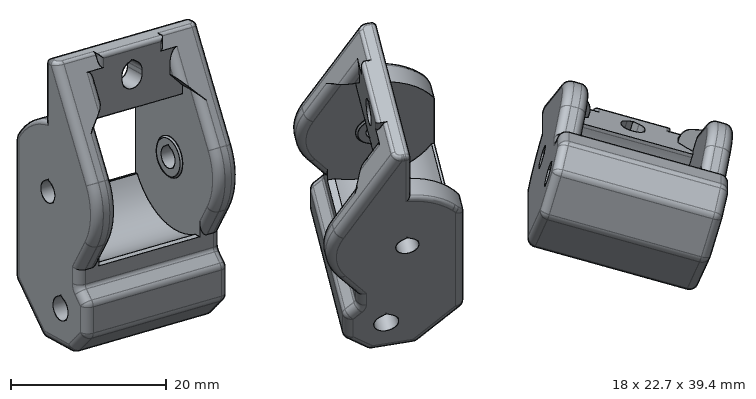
import cadquery as cq
import math

width = 22.7
height = 39.4
depth = 15.75
depth_over_bulge = 17.95

front_chamfer = 6.23
back_chamfer = 3.25
ledge_z = 7.88
neck_x = 14.03
neck_top_z = 11.98
neck_radius = 0.8
round_x = 8.9
round_z = 20.9
bulge_radius = depth_over_bulge - round_x
front_arc_radius = 10.0
cavity_radius = 9.8

plate_front_x = 7.05
plate_back_x = 10.25
slope_top_x = 9.2
pad_half_width = 5.12

corner_radius = 1.2
side_radius = 1.2
top_radius = 0.6
inner_radius = 1.15

opening_width = 16.0
window_low_z = 16.05
window_top_z = 30.65
pocket_half_width = 6.0
flare_z = 33.9
web_half_width = opening_width / 2 + inner_radius

hole_peak_angle = 30.0
pivot_x = 7.5
pivot_z = round_z
pivot_radius = 1.515
lower_hole_x = 10.25
lower_hole_z = 5.5
lower_hole_radius = 1.635
plate_hole_z = 35.0
plate_hole_radius = 1.58
plate_hole_stretch = 0.65
boss_radius = 2.85
boss_height = 0.28
boss_edge = 0.25

pick_reach = 0.2
pick_margin = 0.05
pick_inset = 0.4


def polar(radius, angle):
    """Point on a circle about the common centre."""
    return round_x + radius * math.cos(angle), round_z + radius * math.sin(angle)


def tangent_angle(x, z, side):
    """Angle on the bulge circle where a line from (x, z) touches it."""
    distance = math.hypot(x - round_x, z - round_z)
    return math.atan2(z - round_z, x - round_x) + side * math.acos(bulge_radius / distance)


def across(outline, size):
    """Extrude an outline symmetrically about its plane."""
    return outline.extrude(size / 2, both=True)


def cheek_profile():
    """Closed side outline of the whole bracket."""
    low = tangent_angle(neck_x, neck_top_z, 1)
    high = tangent_angle(slope_top_x, height, -1)
    arc_top_z = round_z + math.sqrt(front_arc_radius**2 - (round_x - plate_front_x) ** 2)
    arc_low_z = round_z + math.sqrt(front_arc_radius**2 - round_x**2)
    arc_mid_angle = (
        math.atan2(arc_top_z - round_z, plate_front_x - round_x)
        + math.atan2(arc_low_z - round_z, -round_x)
    ) / 2
    return (
        cq.Workplane("XZ")
        .moveTo(0, front_chamfer)
        .lineTo(front_chamfer, 0)
        .lineTo(depth - back_chamfer, 0)
        .lineTo(depth, back_chamfer)
        .lineTo(depth, ledge_z)
        .lineTo(neck_x, ledge_z + depth - neck_x)
        .lineTo(neck_x, neck_top_z)
        .lineTo(*polar(bulge_radius, low))
        .threePointArc(polar(bulge_radius, (low + high) / 2), polar(bulge_radius, high))
        .lineTo(slope_top_x, height)
        .lineTo(plate_front_x, height)
        .lineTo(plate_front_x, arc_top_z)
        .threePointArc(polar(front_arc_radius, arc_mid_angle), (0, arc_low_z))
        .close()
    )


def near(x, z):
    """Selector box around one edge that runs across the width."""
    return cq.selectors.BoxSelector(
        (x - pick_reach, -width, z - pick_reach), (x + pick_reach, width, z + pick_reach)
    )


def solid_body():
    """Full-width body with its outer edges rounded."""
    body = across(cheek_profile(), width)
    for x, z in [
        (0, front_chamfer),
        (front_chamfer, 0),
        (depth - back_chamfer, 0),
        (depth, back_chamfer),
        (depth, ledge_z),
    ]:
        body = body.edges(near(x, z)).fillet(corner_radius)
    body = body.edges(near(neck_x, ledge_z + depth - neck_x)).fillet(neck_radius)

    slim_zone = cq.selectors.BoxSelector(
        (0, -width, round_z + front_arc_radius / 2), (round_x, width, height + pick_inset)
    )
    outline = cq.selectors.StringSyntaxSelector("<Y or >Y")
    heavy = body.faces(outline).edges(cq.selectors.InverseSelector(slim_zone))
    body = heavy.fillet(side_radius)
    slim = body.faces(outline).edges(slim_zone)
    plate_top = body.edges(near(plate_front_x, height))
    return slim.add(plate_top).fillet(top_radius)


def drum_cavity():
    """Round cavity between the cheeks, open at the front and back."""
    drum = cq.Workplane("XZ").center(round_x, round_z).circle(cavity_radius)
    return across(drum, opening_width)


def front_window():
    """Rectangular opening below the plate, from the front face to the back of the plate."""
    window = (
        cq.Workplane("XZ")
        .moveTo(0, window_low_z)
        .lineTo(plate_back_x, window_low_z)
        .lineTo(plate_back_x, window_top_z)
        .lineTo(0, window_top_z)
        .close()
    )
    return across(window, opening_width)


def rear_gap():
    """Gap between the cheeks behind the plate, from the top of the neck upward."""
    gap = cq.Workplane("XZ").moveTo(plate_back_x, neck_top_z).rect(depth, height, centered=False)
    return across(gap, opening_width)


def web_region():
    """Zone behind the plate above the flared lower ends of the pocket."""
    drop = web_half_width - pocket_half_width
    return (
        cq.Workplane("YZ", origin=(plate_back_x, 0, 0))
        .polyline(
            [
                (-web_half_width, flare_z - drop),
                (-pocket_half_width, flare_z),
                (pocket_half_width, flare_z),
                (web_half_width, flare_z - drop),
                (web_half_width, height),
                (-web_half_width, height),
            ]
        )
        .close()
        .extrude(depth)
    )


def pocket():
    """Recess behind the plate, between the two webs."""
    return (
        cq.Workplane("YZ", origin=(plate_back_x, 0, 0))
        .moveTo(0, round_z + height / 2)
        .rect(2 * pocket_half_width, height)
        .extrude(depth)
    )


def pad():
    """Full-height middle of the plate, standing proud of the sloping back."""
    block = cq.Workplane("XY").box(
        plate_back_x - plate_front_x - top_radius,
        2 * pad_half_width,
        height - flare_z,
        centered=(False, True, False),
    )
    return (
        block.translate((plate_front_x + top_radius, 0, flare_z))
        .edges(">X and (|Z or >Z)")
        .fillet(top_radius)
    )


def teardrop(plane, x, z, radius):
    """Round hole with a pointed roof, running right through along the plane normal."""
    angle = math.radians(hole_peak_angle)
    side_x = radius * math.sin(angle)
    side_z = z + radius * math.cos(angle)
    outline = (
        cq.Workplane(plane)
        .moveTo(x + side_x, side_z)
        .lineTo(x, z + radius / math.cos(angle))
        .lineTo(x - side_x, side_z)
        .threePointArc((x, z - radius), (x + side_x, side_z))
        .close()
    )
    return across(outline, 2 * width)


def plate_hole():
    """Teardrop hole through the plate, lengthened upward into a short slot."""
    low = teardrop("YZ", 0, plate_hole_z, plate_hole_radius)
    high = low.translate((0, 0, plate_hole_stretch))
    middle = (
        cq.Workplane("YZ")
        .center(0, plate_hole_z + plate_hole_stretch / 2)
        .rect(2 * plate_hole_radius, plate_hole_stretch)
    )
    return low.union(high).union(across(middle, 2 * width))


def cheeks(body):
    """Body opened up between the cheeks, with the rear inner edges of the cheeks rounded."""
    opened = body.cut(drum_cavity()).cut(front_window()).cut(rear_gap())
    wall_half = opening_width / 2 + pick_margin
    inner_walls = opened.faces(
        cq.selectors.BoxSelector((0, -wall_half, window_low_z), (depth, wall_half, window_top_z))
    ).faces("|Y")
    rear_zone = cq.selectors.BoxSelector(
        (plate_back_x + pick_inset, -width, neck_top_z + pick_inset),
        (depth_over_bulge, width, height),
    )
    return inner_walls.edges(rear_zone).fillet(inner_radius)


def webs(body):
    """Corner webs that tie the cheeks to the plate, on both sides of the pocket."""
    both = body.intersect(web_region()).cut(pocket()).cut(drum_cavity())
    wall_half = pocket_half_width + pick_margin
    rims = both.edges(
        cq.selectors.BoxSelector(
            (plate_back_x + pick_inset, -wall_half, flare_z + pick_inset),
            (depth, wall_half, height),
        )
    )
    return rims.fillet(inner_radius)


def boss(side):
    """Low thrust ring around the pivot hole on the inside of one cheek."""
    wall = side * opening_width / 2
    ring = (
        cq.Workplane("XZ", origin=(0, wall, 0))
        .center(pivot_x, pivot_z)
        .circle(boss_radius)
        .extrude(side * boss_height)
    )
    return ring.faces("<Y" if side > 0 else ">Y").chamfer(boss_edge)


def bracket():
    """Complete bracket with its webs, pad, bosses and holes."""
    body = solid_body()
    shell = cheeks(body).union(webs(body)).union(pad()).union(boss(1)).union(boss(-1))
    pivot_hole = teardrop("XZ", pivot_x, pivot_z, pivot_radius)
    lower_hole = teardrop("XZ", lower_hole_x, lower_hole_z, lower_hole_radius)
    return shell.cut(pivot_hole).cut(lower_hole).cut(plate_hole())


result = bracket()